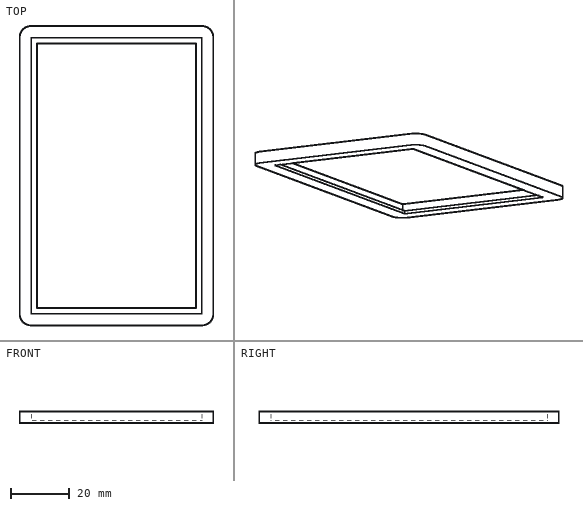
import cadquery as cq

length = 102.0
width = 66.0
height = 4.0
wall = 4.0
corner_radius = wall

ledge_width = 2.0
ledge_thickness = 1.0

recess_width = width - 2 * wall
recess_length = length - 2 * wall
opening_width = recess_width - 2 * ledge_width
opening_length = recess_length - 2 * ledge_width

frame = (
    cq.Workplane("XY")
    .rect(width, length)
    .extrude(height)
    .edges("|Z")
    .fillet(corner_radius)
)

recess = (
    cq.Workplane("XY")
    .workplane(offset=ledge_thickness)
    .rect(recess_width, recess_length)
    .extrude(height - ledge_thickness)
)

opening = cq.Workplane("XY").rect(opening_width, opening_length).extrude(height)

result = frame.cut(recess).cut(opening)